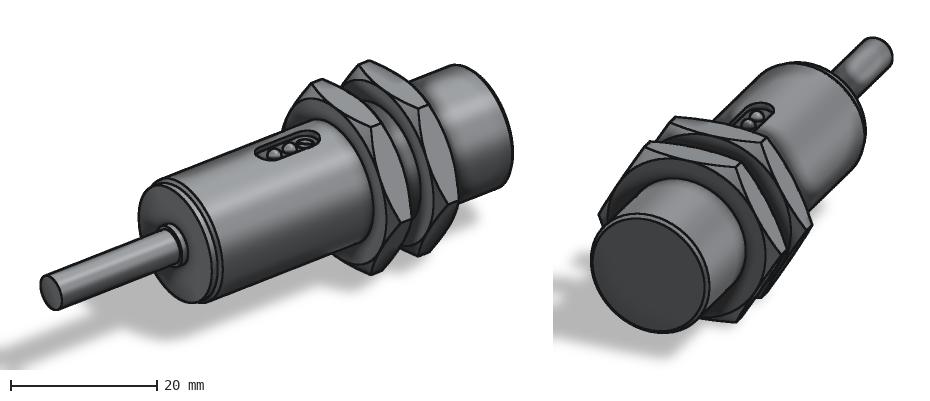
import cadquery as cq
import math


body_diameter = 18.0
body_length = 50.0
edge_chamfer = 0.5
end_cap_diameter = body_diameter - 2 * edge_chamfer
end_cap_length = 1.0
gland_diameter = 6.0
gland_length = 1.0
cable_diameter = 5.0
cable_length = 20.0

window_start = 27.0
window_length = 10.0
window_width = 4.0
window_floor_z = 8.0

screw_position = 29.0
screw_diameter = 2.2
screw_recess_diameter = 2.4
screw_recess_depth = 0.3
screw_slot_width = 0.2
screw_slot_angle = 45.0

led_diameter = 2.0
led_spacing = 2.6
led_positions = [screw_position + led_spacing, screw_position + 2 * led_spacing]

nut_across_flats = 24.0
nut_thickness = 4.0
nut_chamfer_angle = 30.0
nut_positions = [12.0, 20.0]


def cylinder_along_axis(start, diameter, length):
    """Cylinder on the sensor axis, running from a distance behind the sensing face toward the cable."""
    return cq.Workplane("XZ", origin=(0, -start, 0)).circle(diameter / 2).extrude(length)


def on_window_floor(position):
    """Workplane on the window floor, centred at a distance behind the sensing face."""
    return cq.Workplane("XY", origin=(0, -position, window_floor_z))


def make_window_cutter():
    window_centre = window_start + window_length / 2
    cutter_height = body_diameter / 2
    return on_window_floor(window_centre).slot2D(window_length, window_width, 90).extrude(cutter_height)


def make_screw_cutter():
    """Ring-shaped gap around the screw head, together with the driver slot across the head."""
    recess = on_window_floor(screw_position).circle(screw_recess_diameter / 2).extrude(-screw_recess_depth)
    head = on_window_floor(screw_position).circle(screw_diameter / 2).extrude(-screw_recess_depth)
    slot = (
        on_window_floor(screw_position)
        .transformed(rotate=(0, 0, screw_slot_angle))
        .rect(screw_recess_diameter, screw_slot_width)
        .extrude(-screw_recess_depth)
    )
    return recess.cut(head.cut(slot))


def make_led(position):
    """Hemispherical lens with its flat side on the window floor."""
    lens = on_window_floor(position).sphere(led_diameter / 2)
    upper_half = on_window_floor(position).circle(led_diameter).extrude(led_diameter)
    return lens.intersect(upper_half)


def make_housing():
    body = cylinder_along_axis(0, body_diameter, body_length).edges().chamfer(edge_chamfer)
    gland_start = body_length + end_cap_length
    cable_start = gland_start + gland_length
    housing = (
        body
        .union(cylinder_along_axis(body_length, end_cap_diameter, end_cap_length))
        .union(cylinder_along_axis(gland_start, gland_diameter, gland_length))
        .union(cylinder_along_axis(cable_start, cable_diameter, cable_length))
        .cut(make_window_cutter())
        .cut(make_screw_cutter())
    )
    for position in led_positions:
        housing = housing.union(make_led(position))
    return housing


def make_nut(position):
    """Hexagonal nut with flats at top and bottom and conically chamfered corners on both faces."""
    corner_radius = nut_across_flats / 2 / math.cos(math.pi / 6)
    flat_radius = nut_across_flats / 2
    chamfer_depth = (corner_radius - flat_radius) * math.tan(math.radians(nut_chamfer_angle))
    hexagon = (
        cq.Workplane("XZ", origin=(0, -position, 0))
        .polygon(6, 2 * corner_radius)
        .extrude(nut_thickness)
    )
    front = -position
    back = front - nut_thickness
    chamfer_envelope = (
        cq.Workplane("XY")
        .moveTo(0, front)
        .lineTo(flat_radius, front)
        .lineTo(corner_radius, front - chamfer_depth)
        .lineTo(corner_radius, back + chamfer_depth)
        .lineTo(flat_radius, back)
        .lineTo(0, back)
        .close()
        .revolve(360, (0, 0, 0), (0, 1, 0))
    )
    bore = cylinder_along_axis(position, body_diameter, nut_thickness)
    return hexagon.intersect(chamfer_envelope).cut(bore)


housing = make_housing()
nuts = [make_nut(position) for position in nut_positions]

result = cq.Compound.makeCompound([housing.val(), *[nut.val() for nut in nuts]])